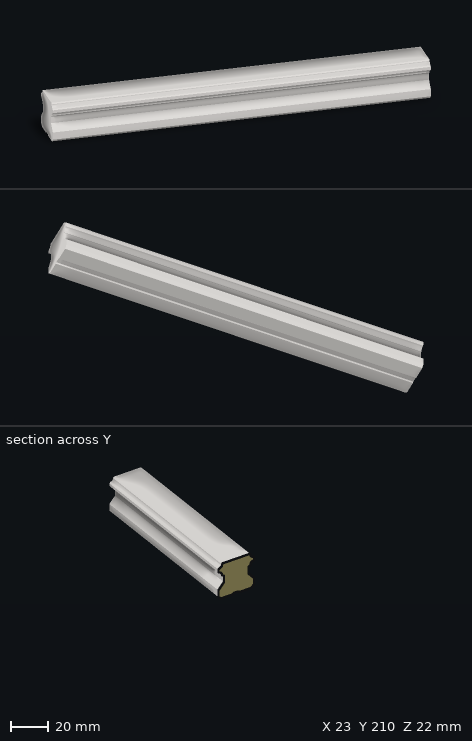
import cadquery as cq

length = 210.0
width = 23.0
height = 22.0
half_width = width / 2

foot_bevel = 1.7
foot_side_top = 5.9
foot_slope_top = 9.9

waist_half_width = 8.0

lobe_mid_height = 18.0
lobe_half_flat = 0.8
lobe_bevel = 0.6
raceway_inner_x = 9.2
raceway_reach = 3.4
raceway_sag = 0.52
head_bevel = 0.6

slot_half_width = 2.0
slot_depth = 0.6


def raceway_middle(start, end):
    """Point halfway along a raceway arc, sunk towards the rail's axis and the lobe."""
    run = end[0] - start[0]
    rise = end[1] - start[1]
    chord = (run**2 + rise**2) ** 0.5
    toward_lobe = 1 if start[1] < lobe_mid_height else -1
    mid_x = (start[0] + end[0]) / 2 - raceway_sag * abs(rise) / chord
    mid_z = (start[1] + end[1]) / 2 + toward_lobe * raceway_sag * abs(run) / chord
    return (mid_x, mid_z)


outer_reach = lobe_half_flat + lobe_bevel
raceway_outer_x = half_width - lobe_bevel
lower_inner = (raceway_inner_x, lobe_mid_height - raceway_reach)
lower_outer = (raceway_outer_x, lobe_mid_height - outer_reach)
upper_outer = (raceway_outer_x, lobe_mid_height + outer_reach)
upper_inner = (raceway_inner_x, lobe_mid_height + raceway_reach)
bevel_inner_x = raceway_inner_x - head_bevel
head_underside = lower_inner[1] - head_bevel
waist_fillet = bevel_inner_x - waist_half_width

half_rail = (
    cq.Workplane("XZ")
    .moveTo(0, slot_depth)
    .lineTo(slot_half_width - slot_depth, slot_depth)
    .lineTo(slot_half_width, 0)
    .lineTo(half_width - foot_bevel, 0)
    .lineTo(half_width, foot_bevel)
    .lineTo(half_width, foot_side_top)
    .lineTo(waist_half_width, foot_slope_top)
    .lineTo(waist_half_width, head_underside - waist_fillet)
    .radiusArc((bevel_inner_x, head_underside), waist_fillet)
    .lineTo(*lower_inner)
    .threePointArc(raceway_middle(lower_inner, lower_outer), lower_outer)
    .lineTo(half_width, lobe_mid_height - lobe_half_flat)
    .lineTo(half_width, lobe_mid_height + lobe_half_flat)
    .lineTo(*upper_outer)
    .threePointArc(raceway_middle(upper_outer, upper_inner), upper_inner)
    .lineTo(bevel_inner_x, height)
    .lineTo(0, height)
    .close()
    .extrude(-length)
)

result = half_rail.union(half_rail.mirror("YZ")).clean()